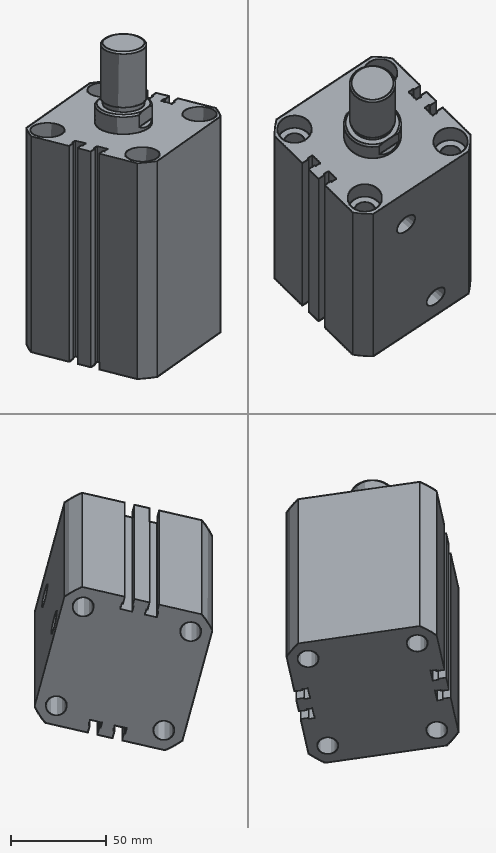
import cadquery as cq

total_height = 171.0

side = 80.0
housing_height = 125.0
corner_round_radius = 51.5

mount_offset = 29.0
mount_diameter = 11.0
counterbore_diameter = 18.0
counterbore_depth = 11.0

slot_offset = 6.7
slot_mouth_width = 5.1
slot_bottom_width = 6.5
slot_mouth_depth = 4.3
slot_depth = 7.4

port_mouth_diameter = 12.3
port_floor_diameter = 11.0
port_taper = 1 / 16
port_depth = (port_mouth_diameter - port_floor_diameter) / port_taper
port_offset = 10.1
upper_port_drop = 27.9
lower_port_height = 16.2

collar_diameter = 30.1
collar_height = 11.0
neck_diameter = 22.0
neck_height = 3.0
shank_diameter = 24.0
rod_chamfer = 1.0
flat_spacing = 27.0
flat_length = 8.0


def housing_block():
    block = cq.Workplane("XY").rect(side, side).extrude(housing_height)
    corner_round = cq.Workplane("XY").circle(corner_round_radius).extrude(housing_height)
    return block.intersect(corner_round)


def cut_mounting_holes(body):
    return (
        body.faces(">Z").workplane(origin=(0, 0, housing_height))
        .rect(2 * mount_offset, 2 * mount_offset, forConstruction=True).vertices()
        .cboreHole(mount_diameter, counterbore_diameter, counterbore_depth)
    )


def sensor_slot(x_position, y_side):
    """Full-height T-slot cutter; y_side is -1 or +1 for the face it opens to."""
    face_y = y_side * side / 2
    mouth_end_y = y_side * (side / 2 - slot_mouth_depth)
    floor_y = y_side * (side / 2 - slot_depth)
    half_mouth = slot_mouth_width / 2
    half_bottom = slot_bottom_width / 2
    return (
        cq.Workplane("XY").center(x_position, 0)
        .moveTo(-half_mouth, face_y)
        .lineTo(-half_mouth, mouth_end_y)
        .lineTo(-half_bottom, mouth_end_y)
        .lineTo(-half_bottom, floor_y)
        .lineTo(half_bottom, floor_y)
        .lineTo(half_bottom, mouth_end_y)
        .lineTo(half_mouth, mouth_end_y)
        .lineTo(half_mouth, face_y)
        .close().extrude(housing_height)
    )


def air_port(y_position, z_position):
    """Tapered round cutter entering the -X face."""
    face_x = -side / 2
    floor_x = face_x + port_depth
    return (
        cq.Workplane("XY")
        .moveTo(face_x, 0)
        .lineTo(face_x, port_mouth_diameter / 2)
        .lineTo(floor_x, port_floor_diameter / 2)
        .lineTo(floor_x, 0)
        .close().revolve(360, (0, 0, 0), (1, 0, 0))
        .translate((0, y_position, z_position))
    )


def make_housing():
    body = cut_mounting_holes(housing_block())
    for y_side in (-1, 1):
        for x_position in (-slot_offset, slot_offset):
            body = body.cut(sensor_slot(x_position, y_side))
    body = body.cut(air_port(port_offset, housing_height - upper_port_drop))
    return body.cut(air_port(-port_offset, lower_port_height))


def wrench_flat(x_side):
    """Cutter for one collar flat, its lower end running out at 45 degrees."""
    collar_top = housing_height + collar_height
    flat_bottom = collar_top - flat_length
    flat_x = flat_spacing / 2
    outer_x = collar_diameter / 2
    return (
        cq.Workplane("XZ")
        .moveTo(x_side * flat_x, collar_top)
        .lineTo(x_side * flat_x, flat_bottom)
        .lineTo(x_side * outer_x, flat_bottom - (outer_x - flat_x))
        .lineTo(x_side * outer_x, collar_top)
        .close().extrude(collar_diameter / 2, both=True)
    )


def make_rod():
    collar_top = housing_height + collar_height
    shank_bottom = collar_top + neck_height
    collar = (
        cq.Workplane("XY").workplane(offset=housing_height)
        .circle(collar_diameter / 2).extrude(collar_height)
        .faces(">Z").edges().chamfer(rod_chamfer)
    )
    for x_side in (-1, 1):
        collar = collar.cut(wrench_flat(x_side))
    neck = (
        cq.Workplane("XY").workplane(offset=collar_top)
        .circle(neck_diameter / 2).extrude(neck_height)
    )
    shank = (
        cq.Workplane("XY").workplane(offset=shank_bottom)
        .circle(shank_diameter / 2).extrude(total_height - shank_bottom)
        .faces(">Z").edges().chamfer(rod_chamfer)
    )
    return collar.union(neck).union(shank)


housing = make_housing()
rod = make_rod()

result = cq.Compound.makeCompound([housing.val(), rod.val()])